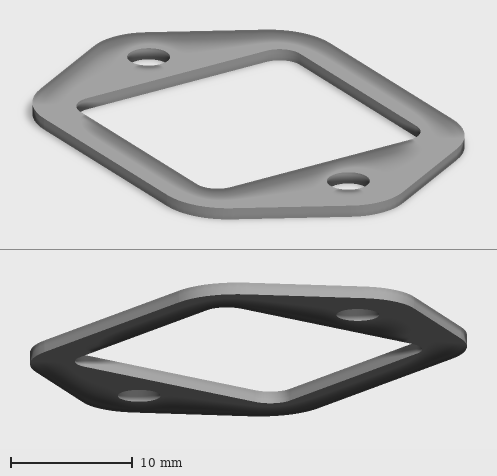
import cadquery as cq
import math

length = 40.0
width = 28.0
thickness = 1.0
end_radius = 5.0
corner_radius = 6.0
flank_angle = math.radians(60)

hole_diameter = 3.5
hole_offset = length / 2 - end_radius

window_size = 21.5
window_radius = 2.0

tip_x = hole_offset + end_radius / math.sin(flank_angle)
corner_y = width / 2
corner_x = tip_x - corner_y / math.tan(flank_angle)


def make_plate():
    """Hexagonal plate with rounded tips and corners."""
    outline = [
        (tip_x, 0),
        (corner_x, corner_y),
        (-corner_x, corner_y),
        (-tip_x, 0),
        (-corner_x, -corner_y),
        (corner_x, -corner_y),
    ]
    plate = cq.Workplane("XY").polyline(outline).close().extrude(thickness)
    plate = plate.edges("|Z and (>X or <X)").fillet(end_radius)
    return plate.edges("|Z and (>Y or <Y)").fillet(corner_radius)


def make_window():
    """Square opening with rounded corners."""
    window = cq.Workplane("XY").rect(window_size, window_size).extrude(thickness)
    return window.edges("|Z").fillet(window_radius)


def make_holes():
    """Pair of screw holes on the long axis."""
    centers = [(-hole_offset, 0), (hole_offset, 0)]
    return cq.Workplane("XY").pushPoints(centers).circle(hole_diameter / 2).extrude(thickness)


result = make_plate().cut(make_window()).cut(make_holes())